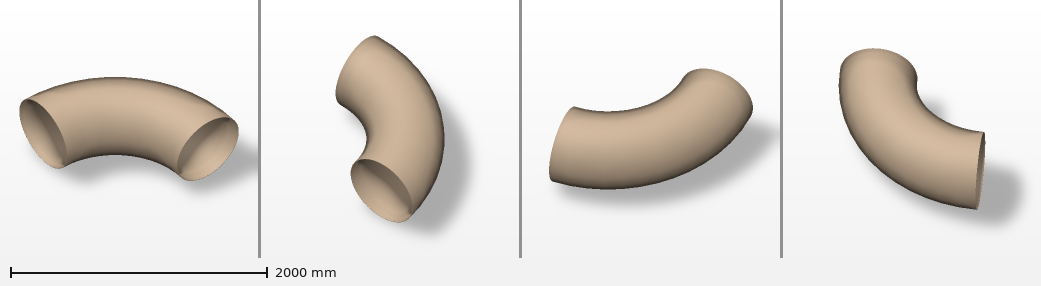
import cadquery as cq

overall_size = 1219.0
outer_diameter = 610.0
wall_thickness = 4.0
bend_angle = 90.0

outer_radius = outer_diameter / 2
inner_radius = outer_radius - wall_thickness
bend_radius = overall_size - outer_radius

axis_top = (bend_radius, outer_radius)
axis_bottom = (bend_radius, -outer_radius)

result = (
    cq.Workplane("XZ")
    .circle(outer_radius)
    .circle(inner_radius)
    .revolve(bend_angle, axis_top, axis_bottom)
)